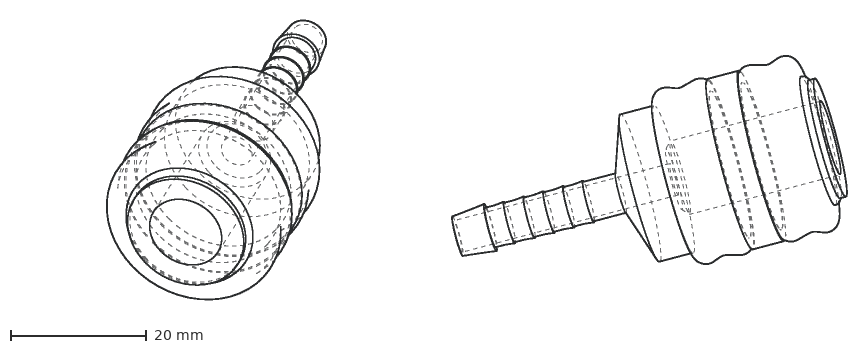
import cadquery as cq
import math

length = 57.0

crest_radius = 13.4
valley_radius = 12.75
band_radius = 13.0
rib_round = 1.95
sleeve_front = 1.9
sleeve_back = 24.0
band_front = 10.55
outer_crest = sleeve_front + rib_round
valley = 6.2
inner_crest = 9.05
sleeve_middle = (sleeve_front + sleeve_back) / 2
band_back = 2 * sleeve_middle - band_front

lip_radius = 9.0
lip_length = 0.9
collar_radius = 9.8
collar_rim = 1.7
collar_bulge = 0.1

body_radius = 11.25
body_end = 29.1
cone_end = 32.05
stem_radius = 3.0

barb_radius = 3.2
barb_start = 37.0
barb_pitch = 3.0
barb_length = barb_pitch / 2
barb_count = 5
tip_start = 52.0
tip_radius = 3.6

socket_radius = 5.6
socket_end_radius = 4.6
socket_depth = 23.95
socket_taper = socket_radius - socket_end_radius
hole_radius = 2.4


def revolve(profile):
    """Turn a closed (radius, y) profile about the Y axis."""
    return profile.close().revolve(360, (0, 0, 0), (0, 1, 0))


def cone(start, end, start_radius, end_radius):
    profile = cq.Workplane("XY").polyline([(0, start), (start_radius, start), (end_radius, end), (0, end)])
    return revolve(profile)


def flank_angle(crest_y):
    """Slope of the line tangent to both the crest round and the valley round."""
    along = abs(crest_y - valley)
    across = 2 * rib_round - (crest_radius - valley_radius)
    return math.atan2(along, across) - math.acos(2 * rib_round / math.hypot(along, across))


def crest_point(crest_y, angle):
    """Point on a crest round, at an angle from the crest toward +Y."""
    drop = rib_round * (1 - math.cos(angle))
    return (crest_radius - drop, crest_y + rib_round * math.sin(angle))


def valley_point(angle):
    """Point on the valley round, at an angle from the bottom toward +Y."""
    rise = rib_round * (1 - math.cos(angle))
    return (valley_radius + rise, valley + rib_round * math.sin(angle))


def make_rib_pair():
    outer_angle = flank_angle(outer_crest)
    inner_angle = flank_angle(inner_crest)
    end_angle = math.acos(1 - (crest_radius - valley_radius) / rib_round)
    end_point = crest_point(inner_crest, end_angle)
    profile = (
        cq.Workplane("XY")
        .moveTo(0, sleeve_front)
        .lineTo(crest_radius - rib_round, sleeve_front)
        .threePointArc(crest_point(outer_crest, -math.pi / 4), crest_point(outer_crest, outer_angle))
        .lineTo(*valley_point(-outer_angle))
        .threePointArc(valley_point(0), valley_point(inner_angle))
        .lineTo(*crest_point(inner_crest, -inner_angle))
        .threePointArc(crest_point(inner_crest, 0), end_point)
        .lineTo(0, end_point[1])
    )
    return revolve(profile)


def make_sleeve():
    front_ribs = make_rib_pair()
    back_ribs = front_ribs.mirror("XZ", (0, sleeve_middle, 0))
    band = cone(band_front, band_back, band_radius, band_radius)
    core = cone(sleeve_front, sleeve_back, body_radius, body_radius)
    return core.union(band).union(front_ribs).union(back_ribs)


def make_lip():
    collar_middle = (
        (lip_radius + collar_radius) / 2 + collar_bulge,
        (lip_length + collar_rim) / 2 - collar_bulge,
    )
    profile = (
        cq.Workplane("XY")
        .lineTo(lip_radius, 0)
        .lineTo(lip_radius, lip_length)
        .threePointArc(collar_middle, (collar_radius, collar_rim))
        .lineTo(collar_radius, sleeve_front)
        .lineTo(0, sleeve_front)
    )
    return revolve(profile)


def make_stem():
    points = [
        (0, sleeve_back),
        (body_radius, sleeve_back),
        (body_radius, body_end),
        (stem_radius, cone_end),
    ]
    for index in range(barb_count):
        start = barb_start + index * barb_pitch
        points += [(stem_radius, start), (barb_radius, start), (stem_radius, start + barb_length)]
    points += [(stem_radius, tip_start), (tip_radius, tip_start), (stem_radius, length), (0, length)]
    return revolve(cq.Workplane("XY").polyline(points))


outside = make_sleeve().union(make_lip()).union(make_stem())
socket_wall = cone(0, socket_depth - socket_taper, socket_radius, socket_radius)
socket_bottom = cone(socket_depth - socket_taper, socket_depth, socket_radius, socket_end_radius)
socket = socket_wall.union(socket_bottom)
hole = cone(0, length, hole_radius, hole_radius)
result = outside.cut(socket).cut(hole)